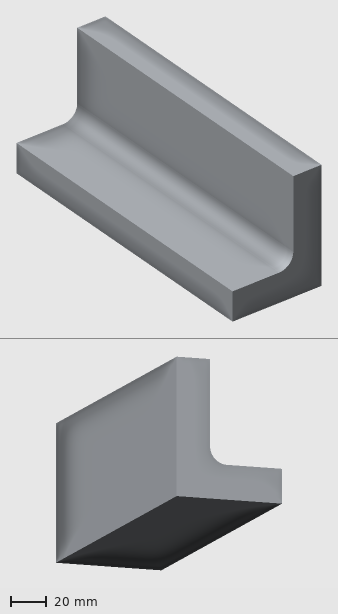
import cadquery as cq

length = 200.0
depth = 63.0
height = 80.0
thickness = 20.0
inner_radius = 10.0

back = depth / 2
front = -back
wall_front = back - thickness

section = (
    cq.Workplane("YZ", origin=(-length / 2, 0, 0))
    .moveTo(front, 0)
    .lineTo(back, 0)
    .lineTo(back, height)
    .lineTo(wall_front, height)
    .lineTo(wall_front, thickness + inner_radius)
    .radiusArc((wall_front - inner_radius, thickness), inner_radius)
    .lineTo(front, thickness)
    .close()
)

result = section.extrude(length)